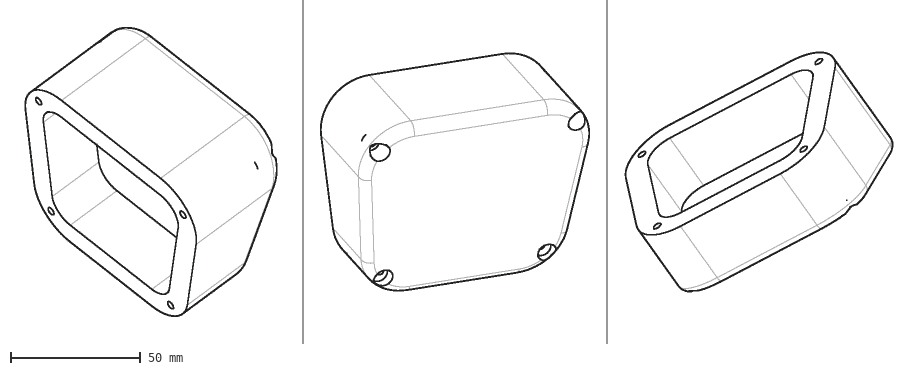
import cadquery as cq
import math

width = 94.7
height = 80.0
corner_radius = 20.0
lower_corner_x = 22.5
upper_corner_x = width / 2 - corner_radius
corner_z = height / 2 - corner_radius

depth_top = 50.0
depth_bottom = 30.0
back_fillet = 4.0

wall = 10.0
cavity_depth = 25.0

hole_diameter = 3.2
recess_diameter = 7.5
recess_shift = 0.6
upper_hole = (39.9, 28.8)
lower_hole = (33.0, -30.7)
upper_recess_floor = 36.0
lower_recess_floor = 26.5


def rounded_trapezoid(radius):
    """Closed wire on the XZ plane, tangent to four corner circles of one radius."""
    lean = math.asin((upper_corner_x - lower_corner_x) / math.hypot(
        upper_corner_x - lower_corner_x, 2 * corner_z))
    side_x = radius * math.cos(lean)
    side_z = -radius * math.sin(lean)
    upper_mid = math.radians(45) - lean / 2
    lower_mid = math.radians(-45) - lean / 2

    def on_corner(center_x, center_z, angle):
        return (center_x + radius * math.cos(angle), center_z + radius * math.sin(angle))

    def mirrored(point):
        return (-point[0], point[1])

    top = (upper_corner_x, corner_z + radius)
    upper_arc = on_corner(upper_corner_x, corner_z, upper_mid)
    upper_side = (upper_corner_x + side_x, corner_z + side_z)
    lower_side = (lower_corner_x + side_x, -corner_z + side_z)
    lower_arc = on_corner(lower_corner_x, -corner_z, lower_mid)
    bottom = (lower_corner_x, -corner_z - radius)
    return (
        cq.Workplane("XZ")
        .moveTo(*top)
        .threePointArc(upper_arc, upper_side)
        .lineTo(*lower_side)
        .threePointArc(lower_arc, bottom)
        .lineTo(*mirrored(bottom))
        .threePointArc(mirrored(lower_arc), mirrored(lower_side))
        .lineTo(*mirrored(upper_side))
        .threePointArc(mirrored(upper_arc), mirrored(top))
        .close()
    )


def sloped_block():
    """Solid outer block, cut off at the back by the slope."""
    side_profile = [
        (0, -height / 2),
        (depth_bottom, -height / 2),
        (depth_top, height / 2),
        (0, height / 2),
    ]
    wedge = cq.Workplane("YZ").polyline(side_profile).close().extrude(width, both=True)
    return rounded_trapezoid(corner_radius).extrude(-depth_top).intersect(wedge)


def screw_hole(x, z):
    """Round hole along Y through the whole part."""
    return cq.Workplane("XZ", origin=(x, 0, z)).circle(hole_diameter / 2).extrude(-depth_top)


def head_recess(x, z, floor_y):
    """Round recess from floor_y out through the back."""
    return (
        cq.Workplane("XZ", origin=(x, floor_y, z))
        .circle(recess_diameter / 2)
        .extrude(-depth_top)
    )


body = sloped_block()
back_center = (0, (depth_top + depth_bottom) / 2, 0)
back_face = cq.selectors.NearestToPointSelector(back_center)
body = body.faces(back_face).edges().fillet(back_fillet)
body = body.cut(rounded_trapezoid(corner_radius - wall).extrude(-cavity_depth))

for (hole_x, hole_z), recess_floor in (
    (upper_hole, upper_recess_floor),
    (lower_hole, lower_recess_floor),
):
    recess_x = hole_x + recess_shift
    recess_z = hole_z + math.copysign(recess_shift, hole_z)
    for side in (-1, 1):
        body = body.cut(screw_hole(side * hole_x, hole_z))
        body = body.cut(head_recess(side * recess_x, recess_z, recess_floor))

result = body